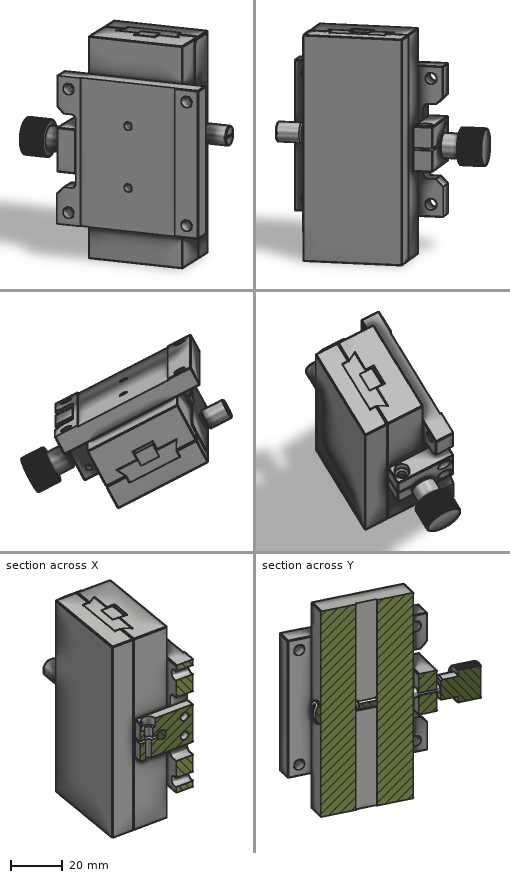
import cadquery as cq
import math

EDGE_BREAK = 0.4

SLIDE_WIDTH = 40.0
SLIDE_LENGTH = 90
SLIDE_DEPTH = 26.0
GUIDE_DEPTH = 16.0

RAIL_NECK_WIDTH = 22.0
RAIL_FRONT = 12.3
RAIL_BACK = 18.9
DOVETAIL_ANGLE = 30
GUIDE_CLEARANCE = 0.4
TABLE_SLOT_WIDTH = 22.5

RACK_WIDTH = 8.0
RACK_FRONT = 9.6
RACK_BACK = 15.0
RACK_END_STEP = 0.1
RACK_SLOT_LEFT = -4.3
RACK_SLOT_RIGHT = 4.7
RACK_SLOT_FLOOR = 8.4

PLATE_SIZE = 60.0
PLATE_THICKNESS = 8.0
RELIEF_DEPTH = 0.5
MOUNT_HOLE_DIAMETER = 4.5
MOUNT_HOLE_PITCH = 50.0
CENTRE_HOLE_DIAMETER = 3.2
CENTRE_HOLE_PITCH = 25.0
NOTCH_HALF_LENGTH = 14.85
NOTCH_MOUTH_CHAMFER = 3.0
NOTCH_FILLET = 1.8

BRACKET_WIDTH = 8.0
BRACKET_DEPTH = 25.0
BRACKET_LENGTH = 18
CLAMP_SLIT = 1.0
CLAMP_SCREW_Y = 13.0
CLAMP_THREAD_DIAMETER = 2.4
SCREW_HOLE_DIAMETER = 3.5
SCREW_HEAD_DIAMETER = 6.0
SCREW_HEAD_DEPTH = 4.0
BRACKET_SCREW_Y = -PLATE_THICKNESS / 2
BRACKET_SCREW_PITCH = 9

SHAFT_Y = 6.8
SHAFT_DIAMETER = 4.0
PINION_DIAMETER = 5.0
PINION_LEFT = -4.2
PINION_RIGHT = 3.6
KNOB_DIAMETER = 15.0
KNOB_LEFT = -49.0
KNOB_LENGTH = 10.0
KNURL_COUNT = 60
KNURL_DEPTH = 0.3
KNOB_CHAMFER = 0.4
COLLAR_DIAMETER = 10.0
COLLAR_LENGTH = 7.6
COLLAR_CHAMFER = 0.7
SHAFT_HEAD_DIAMETER = 9.4
SHAFT_HEAD_RIM = 0.9
SHAFT_HEAD_HEIGHT = 2.5
HEAD_SLOT_WIDTH = 1.0
HEAD_SLOT_DEPTH = 1.0

SIDE_PLATE_THICKNESS = 0.5
SIDE_PLATE_TOP = 44.55
SIDE_PLATE_LENGTH = 79.2
SIDE_PLATE_FRONT = 11.6
SIDE_PLATE_BACK = 24.1
SIDE_PLATE_CORNER_RADIUS = 2.25
THUMB_Y = 20.2
THUMB_Z = 5.0
THUMB_NECK_DIAMETER = 6.0
THUMB_HEAD_DIAMETER = 8.0
THUMB_CONE_START = 21.4
THUMB_CONE_END = 22.05
THUMB_END = 31.6
THUMB_CHAMFER = 0.45
THUMB_SLOT_WIDTH = 0.8
THUMB_SLOT_DEPTH = 0.7

SIDE = SLIDE_WIDTH / 2
PLATE_SIDE = PLATE_SIZE / 2
HALF_LENGTH = SLIDE_LENGTH / 2
NOTCH_FLOOR = BRACKET_WIDTH - PLATE_SIDE


def block(x_min, x_max, y_min, y_max, z_min, z_max):
    size = (x_max - x_min, y_max - y_min, z_max - z_min)
    return cq.Workplane("XY").box(*size, centered=False).translate((x_min, y_min, z_min))


def rod(x_start, x_end, diameter, y, z=0):
    """Cylinder along X."""
    profile = cq.Workplane("YZ", origin=(x_start, y, z)).circle(diameter / 2)
    return profile.extrude(x_end - x_start)


def turned(points, y, z=0):
    """Solid of revolution about an X axis from (x, radius) points that start and end on that axis."""
    profile = cq.Workplane("XY").polyline(points).close()
    return profile.revolve(360, (0, 0, 0), (1, 0, 0)).translate((0, y, z))


def dovetail_half_width(y):
    return RAIL_NECK_WIDTH / 2 + (GUIDE_DEPTH - y) * math.tan(math.radians(DOVETAIL_ANGLE))


def make_guide_block():
    body = block(-SIDE, SIDE, 0, GUIDE_DEPTH, -HALF_LENGTH, HALF_LENGTH).edges().chamfer(EDGE_BREAK)
    floor = RAIL_FRONT - GUIDE_CLEARANCE
    bottom = dovetail_half_width(floor)
    top = dovetail_half_width(GUIDE_DEPTH)
    groove = (
        cq.Workplane("XY", origin=(0, 0, -HALF_LENGTH))
        .polyline([(-bottom, floor), (bottom, floor), (top, GUIDE_DEPTH), (-top, GUIDE_DEPTH)])
        .close()
        .extrude(SLIDE_LENGTH)
    )
    rack_slot = block(
        RACK_SLOT_LEFT, RACK_SLOT_RIGHT, RACK_SLOT_FLOOR, GUIDE_DEPTH, -HALF_LENGTH, HALF_LENGTH
    )
    shaft_bore = rod(-SIDE, SIDE, SHAFT_DIAMETER, SHAFT_Y)
    pinion_bore = rod(RACK_SLOT_LEFT, RACK_SLOT_RIGHT, PINION_DIAMETER, SHAFT_Y)
    return body.cut(groove).cut(rack_slot).cut(shaft_bore).cut(pinion_bore)


def make_rail():
    """Dovetail rail with the rack bar set into its front face."""
    bottom = dovetail_half_width(RAIL_FRONT)
    neck = RAIL_NECK_WIDTH / 2
    rail = (
        cq.Workplane("XY", origin=(0, 0, -HALF_LENGTH))
        .polyline(
            [
                (-bottom, RAIL_FRONT),
                (bottom, RAIL_FRONT),
                (neck, GUIDE_DEPTH),
                (neck, RAIL_BACK),
                (-neck, RAIL_BACK),
                (-neck, GUIDE_DEPTH),
            ]
        )
        .close()
        .extrude(SLIDE_LENGTH)
    )
    half_rack = RACK_WIDTH / 2
    rack_slot = block(-half_rack, half_rack, RAIL_FRONT, RACK_BACK, -HALF_LENGTH, HALF_LENGTH)
    rack_end = HALF_LENGTH - RACK_END_STEP
    rack = block(-half_rack, half_rack, RACK_FRONT, RACK_BACK, -rack_end, rack_end)
    return rail.cut(rack_slot).union(rack)


def make_thumb_screw():
    neck = THUMB_NECK_DIAMETER / 2
    head = THUMB_HEAD_DIAMETER / 2
    screw = turned(
        [
            (SIDE, 0),
            (SIDE, neck),
            (THUMB_CONE_START, neck),
            (THUMB_CONE_END, head),
            (THUMB_END - THUMB_CHAMFER, head),
            (THUMB_END, head - THUMB_CHAMFER),
            (THUMB_END, 0),
        ],
        THUMB_Y,
        THUMB_Z,
    )
    half_slot = THUMB_SLOT_WIDTH / 2
    slot = block(
        THUMB_END - THUMB_SLOT_DEPTH, THUMB_END,
        THUMB_Y - head, THUMB_Y + head,
        THUMB_Z - half_slot, THUMB_Z + half_slot,
    )
    return screw.cut(slot)


def make_table():
    """Table with the thin side plate and thumb screw it carries on its +X face."""
    body = block(-SIDE, SIDE, GUIDE_DEPTH, SLIDE_DEPTH, -HALF_LENGTH, HALF_LENGTH)
    body = body.edges().chamfer(EDGE_BREAK)
    half_slot = TABLE_SLOT_WIDTH / 2
    rail_slot = block(-half_slot, half_slot, GUIDE_DEPTH, RAIL_BACK, -HALF_LENGTH, HALF_LENGTH)
    side_plate = block(
        SIDE, SIDE + SIDE_PLATE_THICKNESS,
        SIDE_PLATE_FRONT, SIDE_PLATE_BACK,
        SIDE_PLATE_TOP - SIDE_PLATE_LENGTH, SIDE_PLATE_TOP,
    )
    side_plate = side_plate.edges("|X").fillet(SIDE_PLATE_CORNER_RADIUS)
    return body.cut(rail_slot).union(side_plate).union(make_thumb_screw())


def is_broken_plate_edge(edge):
    """True for the plate's outer edges, except where the -X strip stays sharp.

    Sharp edges there: its front edges at both ends, and both long edges of its lower ear.
    """
    middle = edge.Center()
    on_side = math.isclose(abs(middle.x), PLATE_SIDE)
    on_end = math.isclose(abs(middle.z), PLATE_SIDE)
    on_front = math.isclose(middle.y, -PLATE_THICKNESS)
    on_back = math.isclose(middle.y, 0, abs_tol=9e-07)
    is_outer = on_side + on_end + on_front + on_back >= 2
    is_left = middle.x < 0
    sharp_end = is_left and on_front and on_end
    sharp_ear = is_left and on_side and middle.z < 0 and not on_end
    return is_outer and not (sharp_end or sharp_ear)


def make_base_plate():
    body = block(-PLATE_SIDE, PLATE_SIDE, -PLATE_THICKNESS, 0, -PLATE_SIDE, PLATE_SIDE)

    mouth = NOTCH_HALF_LENGTH + NOTCH_MOUTH_CHAMFER
    throat = NOTCH_MOUTH_CHAMFER - PLATE_SIDE
    notch = (
        cq.Workplane("XZ")
        .polyline(
            [
                (-PLATE_SIDE, mouth),
                (throat, NOTCH_HALF_LENGTH),
                (NOTCH_FLOOR, NOTCH_HALF_LENGTH),
                (NOTCH_FLOOR, -NOTCH_HALF_LENGTH),
                (throat, -NOTCH_HALF_LENGTH),
                (-PLATE_SIDE, -mouth),
            ]
        )
        .close()
        .extrude(PLATE_THICKNESS)
        .edges("|Y and >X")
        .fillet(NOTCH_FILLET)
    )
    relief = block(
        -SIDE, SIDE, -PLATE_THICKNESS, RELIEF_DEPTH - PLATE_THICKNESS, -PLATE_SIDE, PLATE_SIDE
    )
    mount_holes = (
        cq.Workplane("XZ")
        .rarray(MOUNT_HOLE_PITCH, MOUNT_HOLE_PITCH, 2, 2)
        .circle(MOUNT_HOLE_DIAMETER / 2)
        .extrude(PLATE_THICKNESS)
    )
    centre_holes = (
        cq.Workplane("XZ")
        .rarray(0.9, CENTRE_HOLE_PITCH, 1, 2)
        .circle(CENTRE_HOLE_DIAMETER / 2)
        .extrude(PLATE_THICKNESS)
    )
    body = body.cut(notch).cut(relief)

    body = body.edges().filter(is_broken_plate_edge).chamfer(EDGE_BREAK)
    return body.cut(mount_holes).cut(centre_holes)


def make_bracket():
    half_length = BRACKET_LENGTH / 2
    back = BRACKET_DEPTH - PLATE_THICKNESS
    centre_x = (NOTCH_FLOOR - PLATE_SIDE) / 2
    body = block(-PLATE_SIDE, NOTCH_FLOOR, -PLATE_THICKNESS, back, -half_length, half_length)
    body = body.edges().chamfer(EDGE_BREAK)

    shaft_bore = rod(-PLATE_SIDE, NOTCH_FLOOR, SHAFT_DIAMETER, SHAFT_Y)
    slit = block(-PLATE_SIDE, NOTCH_FLOOR, SHAFT_Y, back, -CLAMP_SLIT / 2, CLAMP_SLIT / 2)
    body = body.cut(slit).cut(shaft_bore)

    clamp_axis = cq.Workplane("XY", origin=(centre_x, CLAMP_SCREW_Y, half_length))
    body = body.cut(clamp_axis.circle(SCREW_HEAD_DIAMETER / 2).extrude(-SCREW_HEAD_DEPTH))
    body = body.cut(clamp_axis.circle(SCREW_HOLE_DIAMETER / 2).extrude(-half_length))
    body = body.cut(clamp_axis.circle(CLAMP_THREAD_DIAMETER / 2).extrude(-BRACKET_LENGTH))

    for z in (-BRACKET_SCREW_PITCH / 2, BRACKET_SCREW_PITCH / 2):
        head = rod(-PLATE_SIDE, SCREW_HEAD_DEPTH - PLATE_SIDE, SCREW_HEAD_DIAMETER, BRACKET_SCREW_Y, z)
        hole = rod(-PLATE_SIDE, NOTCH_FLOOR, SCREW_HOLE_DIAMETER, BRACKET_SCREW_Y, z)
        body = body.cut(head).cut(hole)
    return body


def make_knurled_grip():
    """Star-shaped prism: KNURL_COUNT ridges around the X axis."""
    points = []
    for i in range(2 * KNURL_COUNT):
        angle = math.pi * i / KNURL_COUNT
        radius = KNOB_DIAMETER / 2 - KNURL_DEPTH * (i % 2)
        points.append((radius * math.cos(angle), radius * math.sin(angle)))
    profile = cq.Workplane("YZ", origin=(KNOB_LEFT, SHAFT_Y, 0)).polyline(points).close()
    ridges = profile.extrude(KNOB_LENGTH)
    envelope = rod(KNOB_LEFT, KNOB_LEFT + KNOB_LENGTH, KNOB_DIAMETER, SHAFT_Y).edges().chamfer(KNOB_CHAMFER)
    return ridges.intersect(envelope)


def make_shaft_head():
    """Domed, slotted head on the shaft end."""
    radius = SHAFT_HEAD_DIAMETER / 2
    top = SIDE + SHAFT_HEAD_HEIGHT
    rim = SIDE + SHAFT_HEAD_RIM
    dome_height = top - rim
    dome_radius = (radius**2 + dome_height**2) / (2 * dome_height)
    half_angle = math.asin(radius / dome_radius) / 2
    dome_middle = (top - dome_radius * (1 - math.cos(half_angle)), dome_radius * math.sin(half_angle))
    head = (
        cq.Workplane("XY")
        .moveTo(SIDE, 0)
        .lineTo(SIDE, radius)
        .lineTo(rim, radius)
        .threePointArc(dome_middle, (top, 0))
        .close()
        .revolve(360, (0, 0, 0), (1, 0, 0))
        .translate((0, SHAFT_Y, 0))
    )
    half_slot = HEAD_SLOT_WIDTH / 2
    slot = block(top - HEAD_SLOT_DEPTH, top, SHAFT_Y - half_slot, SHAFT_Y + half_slot, -radius, radius)
    return head.cut(slot)


def make_pinion_shaft():
    """Shaft with knob and collar at the -X end, pinion in the middle and slotted head at the +X end."""
    collar_left = KNOB_LEFT + KNOB_LENGTH
    collar_right = collar_left + COLLAR_LENGTH
    collar_radius = COLLAR_DIAMETER / 2
    collar = turned(
        [
            (collar_left, 0),
            (collar_left, collar_radius),
            (collar_right - COLLAR_CHAMFER, collar_radius),
            (collar_right, collar_radius - COLLAR_CHAMFER),
            (collar_right, 0),
        ],
        SHAFT_Y,
    )
    shaft = rod(collar_left, SIDE, SHAFT_DIAMETER, SHAFT_Y)
    pinion = rod(PINION_LEFT, PINION_RIGHT, PINION_DIAMETER, SHAFT_Y)
    return make_knurled_grip().union(collar).union(shaft).union(pinion).union(make_shaft_head())


guide_block = make_guide_block()
rail = make_rail()
table = make_table()
base_plate = make_base_plate()
bracket = make_bracket()
pinion_shaft = make_pinion_shaft()

result = cq.Compound.makeCompound(
    [
        guide_block.val(),
        rail.val(),
        table.val(),
        base_plate.val(),
        bracket.val(),
        pinion_shaft.val(),
    ]
)